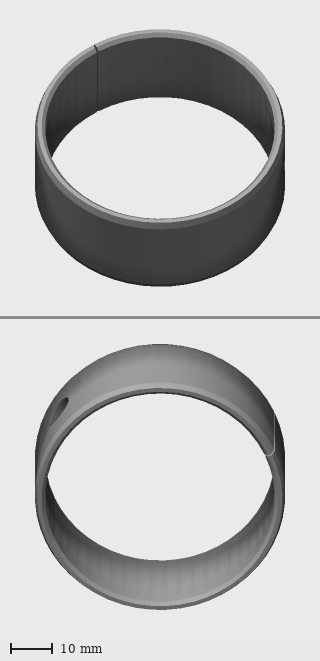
import cadquery as cq
import math

outer_diameter = 60.0
inner_diameter = 55.0
height = 25.0

outer_chamfer_angle = 20.0
outer_chamfer_height = 1.8
inner_chamfer = 0.85

slit_width = 0.5
slit_start_y = 0.0

hole_diameter = 8.0
hole_angle = 59.0

outer_radius = outer_diameter / 2
inner_radius = inner_diameter / 2
half_height = height / 2
outer_chamfer_width = outer_chamfer_height * math.tan(math.radians(outer_chamfer_angle))


def make_ring():
    """Revolve the wall section, with all four corners chamfered, about Z."""
    outer_rim_radius = outer_radius - outer_chamfer_width
    inner_rim_radius = inner_radius + inner_chamfer
    outer_shoulder = half_height - outer_chamfer_height
    inner_shoulder = half_height - inner_chamfer
    section = [
        (inner_radius, -inner_shoulder),
        (inner_rim_radius, -half_height),
        (outer_rim_radius, -half_height),
        (outer_radius, -outer_shoulder),
        (outer_radius, outer_shoulder),
        (outer_rim_radius, half_height),
        (inner_rim_radius, half_height),
        (inner_radius, inner_shoulder),
    ]
    return cq.Workplane("XZ").polyline(section).close().revolve(360, (0, 0, 0), (0, 1, 0))


def make_slit():
    """Thin full-height block from the axis out past the -X wall."""
    return (
        cq.Workplane("XY")
        .box(outer_diameter, slit_width, height, centered=(True, False, True))
        .translate((-outer_radius, slit_start_y, 0))
    )


def make_radial_hole():
    """Cylinder at mid height from the axis out past the wall."""
    return (
        cq.Workplane("YZ")
        .circle(hole_diameter / 2)
        .extrude(outer_diameter)
        .rotate((0, 0, 0), (0, 0, 1), hole_angle)
    )


result = make_ring().cut(make_slit()).cut(make_radial_hole())